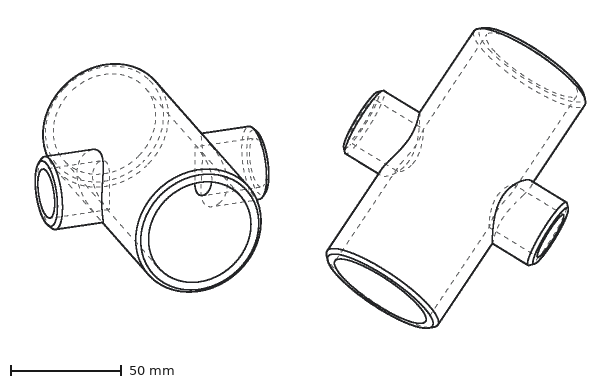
import cadquery as cq

run_length = 127.0
run_diameter = 60.3
run_bore = 49.3

branch_span = 101.6
branch_diameter = 33.4
branch_bore = 22.4

end_bevel = 1.8


def centred_cylinder(plane, diameter, length):
    """Solid cylinder through the origin, centred along the plane's normal."""
    return cq.Workplane(plane).circle(diameter / 2).extrude(length / 2, both=True)


def bevelled_bar(plane, diameter, length):
    """Centred cylinder with both end rims chamfered."""
    bar = centred_cylinder(plane, diameter, length)
    return bar.edges("%CIRCLE").chamfer(end_bevel)


run = bevelled_bar("YZ", run_diameter, run_length)
branches = bevelled_bar("XZ", branch_diameter, branch_span)
body = run.union(branches)

body = body.cut(centred_cylinder("YZ", run_bore, run_length))
result = body.cut(centred_cylinder("XZ", branch_bore, branch_span))